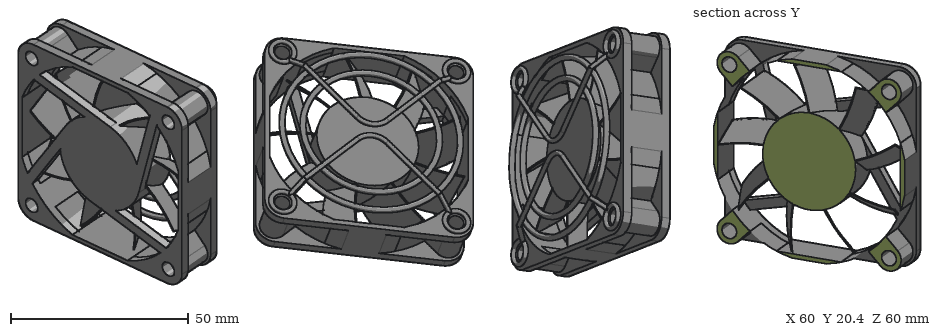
import cadquery as cq
import math


SIDE = 60.0
DEPTH = 15.4
FLANGE = 2.75
CORNER_RADIUS = 5.5
SCREW_OFFSET = 25.0
SCREW_DIAMETER = 4.45
POST_RADIUS = 3.9
DUCT_RADIUS = 30.3
DUCT_WALL = 0.2
OPENING_SIDE = 57.1
DUCT_LENGTH = DEPTH - 2 * FLANGE
CORNERS = [(x, z) for x in (-SCREW_OFFSET, SCREW_OFFSET) for z in (-SCREW_OFFSET, SCREW_OFFSET)]

HUB_RADIUS = 14.65
HUB_LENGTH = 13.5
STRUT_WIDTH = 3.0
STRUT_TILT = 14.3
STRUT_ANGLES = (90 - STRUT_TILT, 180 - STRUT_TILT, 360 - STRUT_TILT, 237.8)

BLADE_COUNT = 9
BLADE_THICKNESS = 0.5
BLADE_HEIGHTS = (12.0, 21.95, 28.2)
BLADE_FRONT_EDGE = (-5.35, -3.4, -0.65)
BLADE_REAR_EDGE = (1.4, 3.9, 6.55)
BLADE_FRONT_Y = FLANGE
BLADE_REAR_Y = HUB_LENGTH

LEG_WIRE = 1.4
RING_WIRE = 1.7
INNER_RING_RADIUS = 19.7
OUTER_RING_RADIUS = 25.7
RING_SEAT = 0.05
LOOP_RADIUS = 3.35
GUARD_TOP = 20.4
LEG_LEVEL = GUARD_TOP - LEG_WIRE / 2
LOOP_LEVEL = DEPTH + LEG_WIRE / 2
RING_LEVEL = GUARD_TOP - LEG_WIRE + RING_SEAT - RING_WIRE / 2
LEG_VERTEX = -0.6
LEG_BEND_RADIUS = 6.0
LEG_KINK_X = 19.45


def sketch_at(y):
    """Sketch plane with local axes X and Z; a negative extrusion runs toward +Y."""
    return cq.Workplane("XZ", origin=(0, y, 0))


def disk(y, radius, depth):
    return sketch_at(y).circle(radius).extrude(-depth)


def rounded_square(y, depth):
    return sketch_at(y).rect(SIDE, SIDE).extrude(-depth).edges("|Y").fillet(CORNER_RADIUS)


def make_post(x, z):
    """A screw post with a straight-sided web that runs in to the duct."""
    post = sketch_at(FLANGE).center(x, z).circle(POST_RADIUS).extrude(-DUCT_LENGTH)
    web = (
        sketch_at(FLANGE)
        .center(x / 2, z / 2)
        .transformed(rotate=(0, 0, math.degrees(math.atan2(z, x))))
        .rect(math.hypot(x, z), 2 * POST_RADIUS)
        .extrude(-DUCT_LENGTH)
    )
    return post.union(web)


def make_frame():
    middle = disk(FLANGE, DUCT_RADIUS + DUCT_WALL, DUCT_LENGTH)
    for x, z in CORNERS:
        middle = middle.union(make_post(x, z))
    middle = middle.intersect(rounded_square(FLANGE, DUCT_LENGTH))

    opening = disk(0, DUCT_RADIUS, DEPTH)
    opening = opening.intersect(sketch_at(0).rect(OPENING_SIDE, OPENING_SIDE).extrude(-DEPTH))
    screw_holes = sketch_at(0).pushPoints(CORNERS).circle(SCREW_DIAMETER / 2).extrude(-DEPTH)

    frame = rounded_square(0, FLANGE).union(middle).union(rounded_square(DEPTH - FLANGE, FLANGE))
    return frame.cut(opening).cut(screw_holes)


def make_strut(angle):
    bar = (
        sketch_at(0)
        .center(DUCT_RADIUS / 2, STRUT_WIDTH / 2 - HUB_RADIUS)
        .rect(DUCT_RADIUS, STRUT_WIDTH)
        .extrude(-FLANGE)
    )
    bar = bar.rotate((0, 0, 0), (0, -1, 0), angle)
    return bar.intersect(disk(0, DUCT_RADIUS, FLANGE))


def blade_section(y, edge):
    """Closed outline of a blade at depth y: a curved strip of constant thickness."""
    outer = list(zip(edge, BLADE_HEIGHTS))
    inner = [(x + BLADE_THICKNESS, z) for x, z in outer]
    return (
        sketch_at(y)
        .moveTo(*outer[0])
        .threePointArc(outer[1], outer[2])
        .lineTo(*inner[2])
        .threePointArc(inner[1], inner[0])
        .close()
        .val()
    )


def make_blade():
    front = blade_section(BLADE_FRONT_Y, BLADE_FRONT_EDGE)
    rear = blade_section(BLADE_REAR_Y, BLADE_REAR_EDGE)
    return cq.Workplane(cq.Solid.makeLoft([front, rear], True))


def make_fan():
    fan = make_frame().union(disk(0, HUB_RADIUS, HUB_LENGTH))
    for angle in STRUT_ANGLES:
        fan = fan.union(make_strut(angle))
    blade = make_blade()
    for i in range(BLADE_COUNT):
        fan = fan.union(blade.rotate((0, 0, 0), (0, 1, 0), i * 360 / BLADE_COUNT))
    return fan


def wire_ring(radius, wire, x, y, z):
    """A closed ring of round wire lying flat at depth y around (x, z)."""
    ring = cq.Solid.makeTorus(radius, wire / 2, cq.Vector(x, y, z), cq.Vector(0, 1, 0))
    return cq.Workplane(ring)


def make_leg(side):
    """A V-shaped leg above (side = 1) or below (side = -1) the axis, with a loop at each end."""
    foot_x = LEG_KINK_X + LEG_LEVEL - LOOP_LEVEL
    bend_x = LEG_BEND_RADIUS / math.sqrt(2)
    bend_z = LEG_VERTEX + LEG_BEND_RADIUS * (math.sqrt(2) - 1)

    def on_v(x, y):
        return cq.Vector(x, y, side * (abs(x) + LEG_VERTEX))

    left_foot = on_v(-foot_x, LOOP_LEVEL)
    left_kink = on_v(-LEG_KINK_X, LEG_LEVEL)
    left_bend = on_v(-bend_x, LEG_LEVEL)
    bend_middle = cq.Vector(0, LEG_LEVEL, side * bend_z)
    right_bend = on_v(bend_x, LEG_LEVEL)
    right_kink = on_v(LEG_KINK_X, LEG_LEVEL)
    right_foot = on_v(foot_x, LOOP_LEVEL)
    path = cq.Wire.assembleEdges([
        cq.Edge.makeLine(left_foot, left_kink),
        cq.Edge.makeLine(left_kink, left_bend),
        cq.Edge.makeThreePointArc(left_bend, bend_middle, right_bend),
        cq.Edge.makeLine(right_bend, right_kink),
        cq.Edge.makeLine(right_kink, right_foot),
    ])
    start = cq.Plane(origin=left_foot, normal=left_kink - left_foot)
    leg = cq.Workplane(start).circle(LEG_WIRE / 2).sweep(cq.Workplane(path), transition="right")
    for x in (-SCREW_OFFSET, SCREW_OFFSET):
        leg = leg.union(wire_ring(LOOP_RADIUS, LEG_WIRE, x, LOOP_LEVEL, side * SCREW_OFFSET))
    return leg


fan = make_fan()

inner_ring = wire_ring(INNER_RING_RADIUS, RING_WIRE, 0, RING_LEVEL, 0)
upper_guard = make_leg(1).union(inner_ring)

outer_ring = wire_ring(OUTER_RING_RADIUS, RING_WIRE, 0, RING_LEVEL, 0).cut(upper_guard)

lower_leg = make_leg(-1).cut(upper_guard).cut(outer_ring)

result = cq.Compound.makeCompound([
    *fan.vals(),
    *upper_guard.vals(),
    *outer_ring.vals(),
    *lower_leg.vals(),
])